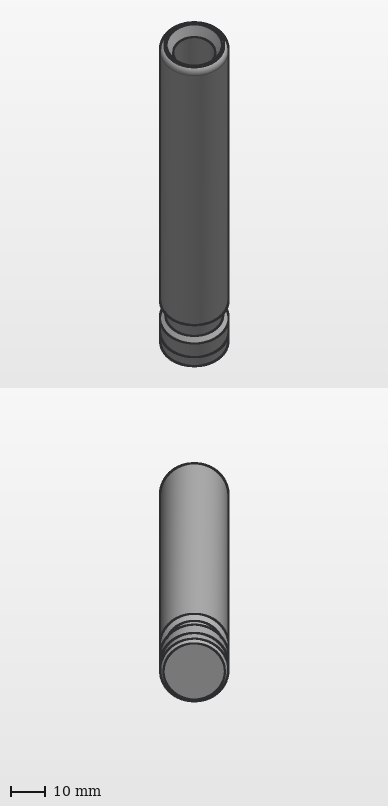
import cadquery as cq
import math

length = 129.7
radius = 10.0

pilot_diameter = 19.8
pilot_radius = pilot_diameter / 2
pilot_height = 5.0
foot_chamfer = 1.0

groove_radius = 8.4
groove_bottom = 11.0
groove_top = 19.0
flank = radius - groove_radius

head_height = 2.2
rim_radius = 8.7

bore_radius = 6.1
bore_depth = 26.0
mouth_radius = 8.0
mouth_angle = 60.0
drill_angle = 118.0


def cone_depth(large_radius, small_radius, included_angle):
    """Axial length of a cone between two radii."""
    return (large_radius - small_radius) / math.tan(math.radians(included_angle / 2))


def make_body():
    """Outer profile in the XZ plane, revolved about Z."""
    profile = (
        cq.Workplane("XZ")
        .moveTo(0, 0)
        .lineTo(pilot_radius - foot_chamfer, 0)
        .lineTo(pilot_radius, foot_chamfer)
        .lineTo(pilot_radius, pilot_height)
        .lineTo(radius, pilot_height)
        .lineTo(radius, groove_bottom)
        .lineTo(groove_radius, groove_bottom + flank)
        .lineTo(groove_radius, groove_top - flank)
        .lineTo(radius, groove_top)
        .lineTo(radius, length - head_height)
        .tangentArcPoint((rim_radius, length), relative=False)
        .lineTo(0, length)
        .close()
    )
    return profile.revolve(360, (0, 0, 0), (0, 1, 0))


def make_bore():
    """Countersink, straight bore and conical floor as one revolved cutter."""
    mouth_depth = cone_depth(mouth_radius, bore_radius, mouth_angle)
    tip_depth = cone_depth(bore_radius, 0, drill_angle)
    floor = length - bore_depth
    profile = (
        cq.Workplane("XZ")
        .moveTo(0, length)
        .lineTo(mouth_radius, length)
        .lineTo(bore_radius, length - mouth_depth)
        .lineTo(bore_radius, floor)
        .lineTo(0, floor - tip_depth)
        .close()
    )
    return profile.revolve(360, (0, 0, 0), (0, 1, 0))


result = make_body().cut(make_bore())